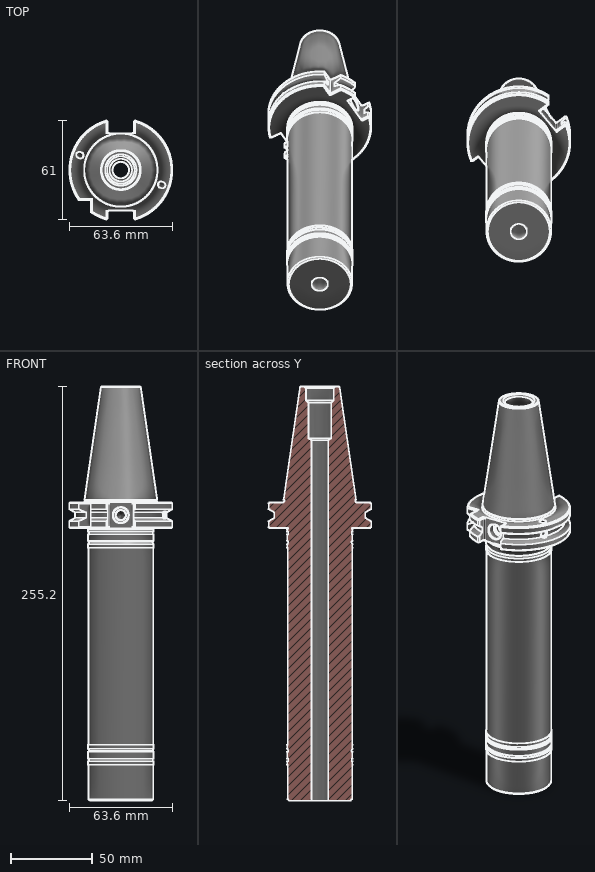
import cadquery as cq
import math

TOTAL_LENGTH = 255.25

TAPER_LENGTH = 68.25
GAUGE_RADIUS = 44.45 / 2
TAPER_SLOPE = 7 / 48
TIP_FACE_RADIUS = 23.5 / 2
TIP_CHAMFER_HEIGHT = 0.5

FLANGE_TOP = -3.2
FLANGE_BOTTOM = -19.1
FLANGE_HEIGHT = FLANGE_TOP - FLANGE_BOTTOM
FLANGE_RADIUS = 63.55 / 2
FLANGE_CHAMFER = 0.7
GRIPPER_CENTRE = -11.1
GRIPPER_ROOT_RADIUS = 28.25
GRIPPER_ROOT_WIDTH = 3.3
GRIPPER_SIDE_ANGLE = math.radians(30)
UNDERCUT_TOP = -1.5
UNDERCUT_ROOT_RADIUS = 21.8
UNDERCUT_OUTER_RADIUS = 22.7

BODY_BOTTOM = TAPER_LENGTH - TOTAL_LENGTH
BODY_RADIUS = 40.0 / 2
BODY_CHAMFER = 1.0
BAND_RADIUS = 40.5 / 2
BAND_LENGTH = 12.2
UPPER_BAND_BOTTOM = FLANGE_BOTTOM - BAND_LENGTH
LOWER_BAND_TOP = -152.6
NECK_CHAMFER_HEIGHT = 1.0
NECK_RADIUS = BAND_RADIUS - 0.6

V_GROOVE_START = 2.3
V_GROOVE_ROOT = 3.7
V_GROOVE_END = 4.3
V_GROOVE_DEPTH = 0.8
FLAT_GROOVE_START = 8.4
FLAT_GROOVE_WIDTH = 1.5
FLAT_GROOVE_DEPTH = 0.5

SLOT_HALF_WIDTH = 16.1 / 2
FRONT_SLOT_DISTANCE = 25.0
BACK_SLOT_DISTANCE = 22.8
SLOT_FLOOR_FILLET = 0.9
NOTCH_DISTANCE = 18.5
EDGE_CHAMFER = 0.8
CUT_REACH = FLANGE_RADIUS + 2

SLOT_HOLE_RADIUS = 6.0 / 2
SLOT_HOLE_DEPTH = 8.0
SLOT_HOLE_MOUTH_RADIUS = 6.6 / 2
SLOT_COUNTERBORE_RADIUS = 9.2 / 2
SLOT_COUNTERBORE_MOUTH_RADIUS = 10.11 / 2
SLOT_COUNTERBORE_DEPTH = 5.0
DRILL_HALF_ANGLE = math.radians(59)

COOLANT_AZIMUTHS = (160, 340)
COOLANT_OPENING_RADIUS = 26.8
COOLANT_TILT = 35
COOLANT_HOLE_RADIUS = 3.9 / 2
CROSS_MOUTH_RADIUS = 4.6 / 2
CROSS_MOUTH_DEPTH = 1.0
CROSS_HOLE_RADIUS = 3.24 / 2

PILOT_RADIUS = 17.0 / 2
PILOT_DEPTH = 8.5
PILOT_CHAMFER_RADIUS = 19.4 / 2
THREAD_RADIUS = 13.83 / 2
THREAD_DEPTH = 32.0
BORE_RADIUS = 10.0 / 2


def turn(profile):
    """Solid of revolution about Z from (radius, z) points."""
    return cq.Workplane("XZ").polyline(profile).close().revolve(360, (0, 0, 0), (0, 1, 0))


def taper_radius(z):
    return GAUGE_RADIUS - TAPER_SLOPE * z


def turned_blank():
    root_half = GRIPPER_ROOT_WIDTH / 2
    rim_half = root_half + (FLANGE_RADIUS - GRIPPER_ROOT_RADIUS) * math.tan(GRIPPER_SIDE_ANGLE)
    chamfered_radius = FLANGE_RADIUS - FLANGE_CHAMFER
    tip_edge = TAPER_LENGTH - TIP_CHAMFER_HEIGHT
    undercut_root = (UNDERCUT_TOP + FLANGE_TOP) / 2
    lower_band_bottom = LOWER_BAND_TOP - BAND_LENGTH
    return turn([
        (0, TAPER_LENGTH),
        (TIP_FACE_RADIUS, TAPER_LENGTH),
        (taper_radius(tip_edge), tip_edge),
        (taper_radius(UNDERCUT_TOP), UNDERCUT_TOP),
        (UNDERCUT_ROOT_RADIUS, undercut_root),
        (UNDERCUT_OUTER_RADIUS, FLANGE_TOP),
        (chamfered_radius, FLANGE_TOP),
        (FLANGE_RADIUS, FLANGE_TOP - FLANGE_CHAMFER),
        (FLANGE_RADIUS, GRIPPER_CENTRE + rim_half),
        (GRIPPER_ROOT_RADIUS, GRIPPER_CENTRE + root_half),
        (GRIPPER_ROOT_RADIUS, GRIPPER_CENTRE - root_half),
        (FLANGE_RADIUS, GRIPPER_CENTRE - rim_half),
        (FLANGE_RADIUS, FLANGE_BOTTOM + FLANGE_CHAMFER),
        (chamfered_radius, FLANGE_BOTTOM),
        (NECK_RADIUS, FLANGE_BOTTOM),
        (BAND_RADIUS, FLANGE_BOTTOM - NECK_CHAMFER_HEIGHT),
        (BAND_RADIUS, UPPER_BAND_BOTTOM),
        (BODY_RADIUS, UPPER_BAND_BOTTOM),
        (BODY_RADIUS, LOWER_BAND_TOP),
        (BAND_RADIUS, LOWER_BAND_TOP),
        (BAND_RADIUS, lower_band_bottom),
        (BODY_RADIUS, lower_band_bottom),
        (BODY_RADIUS, BODY_BOTTOM + BODY_CHAMFER),
        (BODY_RADIUS - BODY_CHAMFER, BODY_BOTTOM),
        (0, BODY_BOTTOM),
    ])


def cut_band_grooves(part, band_end, direction):
    """V groove and flat groove of one band; direction is +1 up or -1 down from band_end."""
    v_groove = turn([
        (BAND_RADIUS, band_end + direction * V_GROOVE_START),
        (BAND_RADIUS - V_GROOVE_DEPTH, band_end + direction * V_GROOVE_ROOT),
        (BAND_RADIUS, band_end + direction * V_GROOVE_END),
    ])
    flat_start = band_end + direction * FLAT_GROOVE_START
    flat_end = flat_start + direction * FLAT_GROOVE_WIDTH
    flat_groove = turn([
        (BAND_RADIUS, flat_start),
        (BAND_RADIUS - FLAT_GROOVE_DEPTH, flat_start),
        (BAND_RADIUS - FLAT_GROOVE_DEPTH, flat_end),
        (BAND_RADIUS, flat_end),
    ])
    return part.cut(v_groove).cut(flat_groove)


def slot_cutter(floor_distance):
    """Slot open toward +Y: rounded floor corners, flared mouth, chamfered upper and lower wall edges."""
    wide = SLOT_HALF_WIDTH + EDGE_CHAMFER
    flare_start = math.sqrt(FLANGE_RADIUS**2 - wide**2) - EDGE_CHAMFER
    flare_end_half = SLOT_HALF_WIDTH + CUT_REACH - flare_start
    cutter = (
        cq.Workplane("XY").workplane(offset=FLANGE_BOTTOM)
        .polyline([
            (-SLOT_HALF_WIDTH, floor_distance),
            (SLOT_HALF_WIDTH, floor_distance),
            (SLOT_HALF_WIDTH, flare_start),
            (flare_end_half, CUT_REACH),
            (-flare_end_half, CUT_REACH),
            (-SLOT_HALF_WIDTH, flare_start),
        ])
        .close().extrude(FLANGE_HEIGHT)
        .edges("|Z and <Y").fillet(SLOT_FLOOR_FILLET)
    )
    for face, inward in ((FLANGE_TOP, -1), (FLANGE_BOTTOM, 1)):
        inner = face + inward * EDGE_CHAMFER
        edge_break = (
            cq.Workplane("XZ", origin=(0, floor_distance, 0))
            .polyline([
                (-wide, face),
                (wide, face),
                (SLOT_HALF_WIDTH, inner),
                (-SLOT_HALF_WIDTH, inner),
            ])
            .close().extrude(floor_distance - CUT_REACH)
        )
        cutter = cutter.union(edge_break)
    return cutter


def notch_cutter():
    """Square notch in the -X -Y corner, with chamfered upper and lower edges."""
    size = CUT_REACH - NOTCH_DISTANCE
    centre = -(CUT_REACH + NOTCH_DISTANCE) / 2
    plan = cq.Workplane("XY", origin=(centre, centre, FLANGE_BOTTOM))
    cutter = plan.rect(size, size).extrude(FLANGE_HEIGHT)
    wide = size + 2 * EDGE_CHAMFER
    lower = plan.rect(wide, wide).extrude(EDGE_CHAMFER, taper=45)
    middle = (FLANGE_TOP + FLANGE_BOTTOM) / 2
    upper = lower.mirror("XY", (0, 0, middle))
    return cutter.union(lower).union(upper)


def cut_slots_and_notch(part):
    front = slot_cutter(FRONT_SLOT_DISTANCE).rotate((0, 0, 0), (0, 0, 1), 180)
    back = slot_cutter(BACK_SLOT_DISTANCE)
    return part.cut(front).cut(back).cut(notch_cutter())


def cut_slot_hole(part):
    """Counterbored blind hole with chamfered mouths and a drill point."""
    point_depth = SLOT_HOLE_DEPTH + SLOT_HOLE_RADIUS / math.tan(DRILL_HALF_ANGLE)
    outer_chamfer = SLOT_COUNTERBORE_MOUTH_RADIUS - SLOT_COUNTERBORE_RADIUS
    inner_chamfer = SLOT_HOLE_MOUTH_RADIUS - SLOT_HOLE_RADIUS
    cutter = turn([
        (0, 0),
        (SLOT_COUNTERBORE_MOUTH_RADIUS, 0),
        (SLOT_COUNTERBORE_RADIUS, -outer_chamfer),
        (SLOT_COUNTERBORE_RADIUS, -SLOT_COUNTERBORE_DEPTH),
        (SLOT_HOLE_MOUTH_RADIUS, -SLOT_COUNTERBORE_DEPTH),
        (SLOT_HOLE_RADIUS, -SLOT_COUNTERBORE_DEPTH - inner_chamfer),
        (SLOT_HOLE_RADIUS, -SLOT_HOLE_DEPTH),
        (0, -point_depth),
    ])
    cutter = cutter.rotate((0, 0, 0), (1, 0, 0), 90)
    return part.cut(cutter.translate((0, -FRONT_SLOT_DISTANCE, GRIPPER_CENTRE)))


def coolant_cutter():
    """Channel in the +X half plane: the sloping hole ends where it meets the radial hole's axis."""
    tilt = math.radians(COOLANT_TILT)
    drop = FLANGE_TOP - GRIPPER_CENTRE
    meeting_radius = COOLANT_OPENING_RADIUS - drop * math.tan(tilt)
    lead = 2 * COOLANT_HOLE_RADIUS
    up = cq.Vector(math.sin(tilt), 0, math.cos(tilt))
    meeting = cq.Vector(meeting_radius, 0, GRIPPER_CENTRE)
    sloping = cq.Solid.makeCylinder(COOLANT_HOLE_RADIUS, drop / math.cos(tilt) + lead, meeting, up)

    outward = cq.Vector(1, 0, 0)
    radial_length = GRIPPER_ROOT_RADIUS - meeting_radius
    radial = cq.Solid.makeCylinder(CROSS_HOLE_RADIUS, radial_length, meeting, outward)
    mouth_start = cq.Vector(GRIPPER_ROOT_RADIUS - CROSS_MOUTH_DEPTH, 0, GRIPPER_CENTRE)
    mouth = cq.Solid.makeCylinder(CROSS_MOUTH_RADIUS, 2 * CROSS_MOUTH_DEPTH, mouth_start, outward)
    return cq.Workplane(sloping).union(cq.Workplane(radial)).union(cq.Workplane(mouth))


def cut_coolant_channels(part):
    cutter = coolant_cutter()
    for azimuth in COOLANT_AZIMUTHS:
        part = part.cut(cutter.rotate((0, 0, 0), (0, 0, 1), azimuth))
    return part


def cut_bore(part):
    """Through bore, widened from the taper end by a thread core and a pilot with conical shoulders."""
    pilot_chamfer = PILOT_CHAMFER_RADIUS - PILOT_RADIUS
    pilot_end = TAPER_LENGTH - PILOT_DEPTH
    thread_start = pilot_end - (PILOT_RADIUS - THREAD_RADIUS)
    thread_end = TAPER_LENGTH - THREAD_DEPTH
    bore_start = thread_end - (THREAD_RADIUS - BORE_RADIUS) / math.tan(DRILL_HALF_ANGLE)
    return part.cut(turn([
        (0, TAPER_LENGTH),
        (PILOT_CHAMFER_RADIUS, TAPER_LENGTH),
        (PILOT_RADIUS, TAPER_LENGTH - pilot_chamfer),
        (PILOT_RADIUS, pilot_end),
        (THREAD_RADIUS, thread_start),
        (THREAD_RADIUS, thread_end),
        (BORE_RADIUS, bore_start),
        (BORE_RADIUS, BODY_BOTTOM),
        (0, BODY_BOTTOM),
    ]))


result = turned_blank()
result = cut_band_grooves(result, UPPER_BAND_BOTTOM, 1)
result = cut_band_grooves(result, LOWER_BAND_TOP, -1)
result = cut_slots_and_notch(result)
result = cut_slot_hole(result)
result = cut_coolant_channels(result)
result = cut_bore(result)